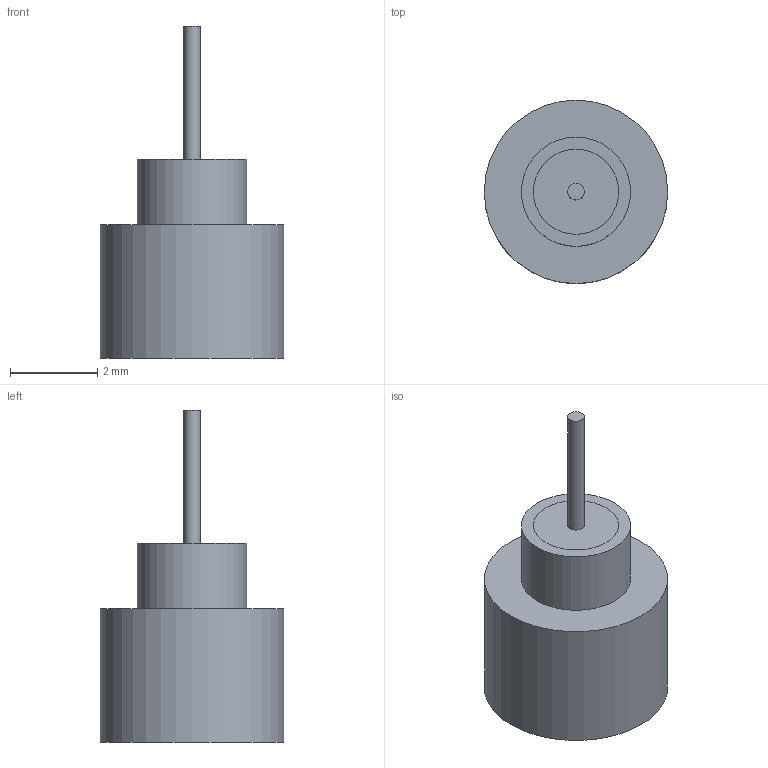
import cadquery as cq

TOTAL_HEIGHT = 7.6
BODY_DIAMETER = 4.2
BODY_HEIGHT = 3.05
COLLAR_DIAMETER = 2.5
COLLAR_HEIGHT = 1.5
SEAL_DIAMETER = 1.95
PIN_DIAMETER = 0.38

COLLAR_TOP = BODY_HEIGHT + COLLAR_HEIGHT
PIN_LENGTH = TOTAL_HEIGHT - COLLAR_TOP


def cylinder(diameter, height, base_z):
    """Upright cylinder on the Z axis, standing on the height base_z."""
    disc = cq.Workplane("XY").workplane(offset=base_z).circle(diameter / 2)
    return disc.extrude(height)


def make_housing():
    """Wide body with a narrower collar, bored through the collar for the seal."""
    body = cylinder(BODY_DIAMETER, BODY_HEIGHT, 0)
    collar = cylinder(COLLAR_DIAMETER, COLLAR_HEIGHT, BODY_HEIGHT)
    seal_bore = cylinder(SEAL_DIAMETER, COLLAR_HEIGHT, BODY_HEIGHT)
    return body.union(collar).cut(seal_bore)


housing = make_housing()
seal = cylinder(SEAL_DIAMETER, COLLAR_HEIGHT, BODY_HEIGHT)
pin = cylinder(PIN_DIAMETER, PIN_LENGTH, COLLAR_TOP)

result = housing.union(seal, clean=False).union(pin, clean=False)